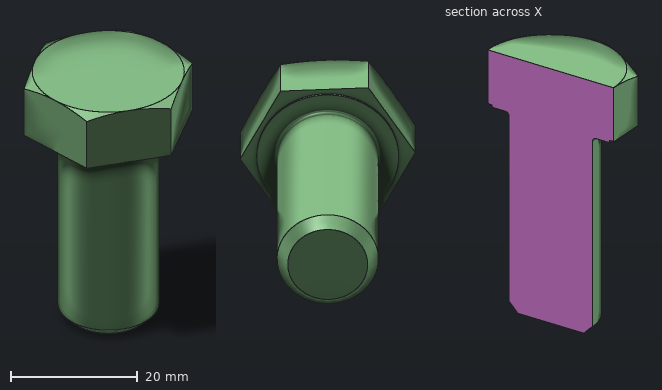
import cadquery as cq
import math

total_length = 45.0
across_flats = 24.0
head_height = 10.0
washer_height = 0.4
washer_diameter = 22.4
shank_diameter = 16.0
neck_radius = 0.6
tip_chamfer_height = 1.7
tip_chamfer_depth = 1.7
crown_angle = 25.0

across_corners = across_flats / math.cos(math.radians(30))
shank_length = total_length - head_height
shank_radius = shank_diameter / 2
flat_radius = across_flats / 2
corner_radius = across_corners / 2
crown_drop = (corner_radius - flat_radius) * math.tan(math.radians(crown_angle))


def make_head():
    """Hexagonal prism with corners on X, its top trimmed by a cone."""
    hexagon = (
        cq.Workplane("XY")
        .workplane(offset=washer_height)
        .polygon(6, across_corners)
        .extrude(head_height - washer_height)
    )
    crown = (
        cq.Workplane("XZ")
        .lineTo(corner_radius, 0)
        .lineTo(corner_radius, head_height - crown_drop)
        .lineTo(flat_radius, head_height)
        .lineTo(0, head_height)
        .close()
        .revolve(360, (0, 0, 0), (0, 1, 0))
    )
    return hexagon.intersect(crown)


def make_stem():
    """Washer face, filleted neck and shank with a chamfered tip."""
    fillet_offset = neck_radius * (1 - math.sqrt(0.5))
    return (
        cq.Workplane("XZ")
        .moveTo(0, washer_height)
        .lineTo(washer_diameter / 2, washer_height)
        .lineTo(washer_diameter / 2, 0)
        .lineTo(shank_radius + neck_radius, 0)
        .threePointArc((shank_radius + fillet_offset, -fillet_offset), (shank_radius, -neck_radius))
        .lineTo(shank_radius, tip_chamfer_height - shank_length)
        .lineTo(shank_radius - tip_chamfer_depth, -shank_length)
        .lineTo(0, -shank_length)
        .close()
        .revolve(360, (0, 0, 0), (0, 1, 0))
    )


result = make_head().union(make_stem())